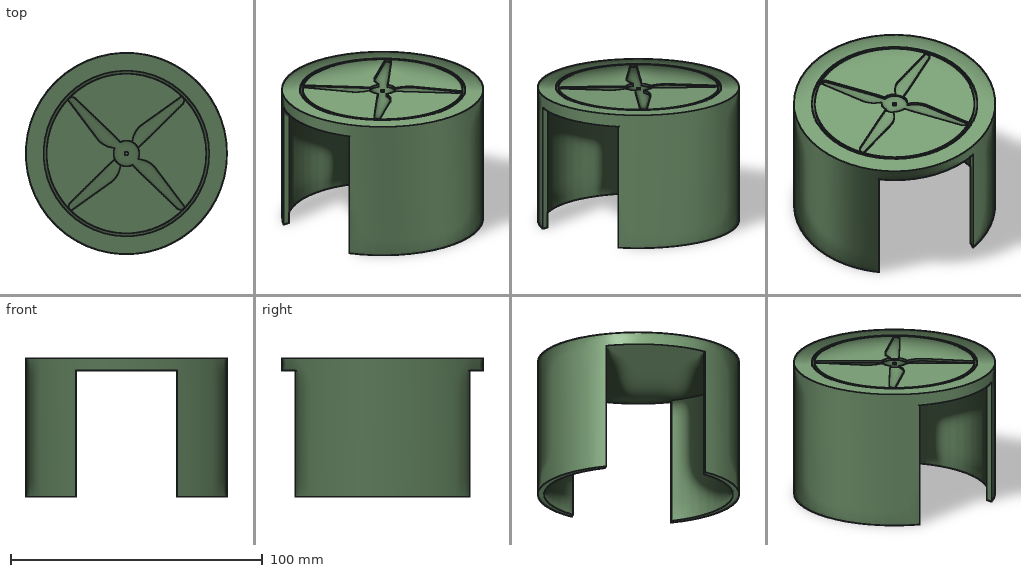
import cadquery as cq

outer_diameter = 80.0
skirt_inner_diameter = 75.0
plate_thickness = 5.0
total_height = 55.0
skirt_height = total_height - plate_thickness

window_width = outer_diameter / 2

groove_outer_diameter = 65.8
groove_inner_diameter = 63.4
groove_depth = 1.0

hub_diameter = 10.2
deep_blade_depth = 1.0
shallow_blade_depth = 0.5
blade_crossing_angle = 91.5
pin_diameter = 1.4
pin_height = 0.5


straight_edge_root = (4.8, 2.5)
straight_edge_bend = (7.7, 5.1)
straight_edge_end = (22.3, 19.6)
tip_middle = (22.9, 21.3)
tip_end = (22.0, 22.7)
curved_edge_start = (5.6, 11.0)
curved_edge_middle = (3.5, 8.5)
curved_edge_root = (2.4, 5.0)


def top_disc(diameter, depth):
    """Disc that reaches down from the top face."""
    return cq.Workplane("XY").workplane(offset=total_height).circle(diameter / 2).extrude(-depth)


def blade(angle, depth):
    """Blade-shaped cutter, turned about the part axis; its root lies inside the hub."""
    outline = (
        cq.Workplane("XY")
        .workplane(offset=total_height)
        .lineTo(*straight_edge_root)
        .lineTo(*straight_edge_bend)
        .lineTo(*straight_edge_end)
        .threePointArc(tip_middle, tip_end)
        .lineTo(*curved_edge_start)
        .threePointArc(curved_edge_middle, curved_edge_root)
        .close()
    )
    return outline.extrude(-depth).rotate((0, 0, 0), (0, 0, 1), angle)


body = cq.Workplane("XY").circle(outer_diameter / 2).extrude(total_height)
cavity = cq.Workplane("XY").circle(skirt_inner_diameter / 2).extrude(skirt_height)
window = cq.Workplane("XY").box(
    window_width, outer_diameter, skirt_height, centered=(True, True, False)
)
body = body.cut(cavity).cut(window)

groove_core = top_disc(groove_inner_diameter, groove_depth)
body = body.cut(top_disc(groove_outer_diameter, groove_depth).cut(groove_core))

body = body.cut(top_disc(hub_diameter, deep_blade_depth))
for turn in (0, 180):
    body = body.cut(blade(turn, shallow_blade_depth))
    body = body.cut(blade(turn + blade_crossing_angle, deep_blade_depth))

hub_floor = total_height - deep_blade_depth
pin = cq.Workplane("XY").workplane(offset=hub_floor).circle(pin_diameter / 2).extrude(pin_height)

result = body.union(pin)